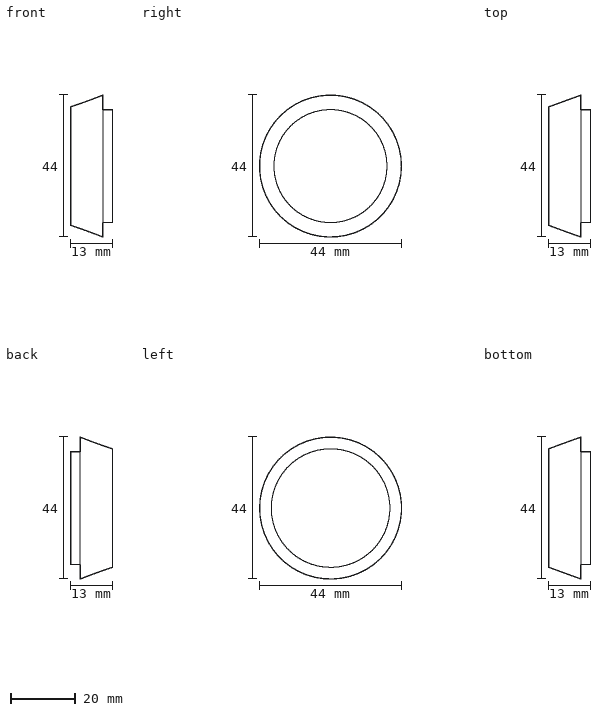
import cadquery as cq
import math

rim_diameter = 44.0
flare_length = 10.0
flare_angle = 20.0
spigot_diameter = 35.0
spigot_length = 3.0

rim_radius = rim_diameter / 2
face_radius = rim_radius - flare_length * math.tan(math.radians(flare_angle))
spigot_radius = spigot_diameter / 2
total_length = flare_length + spigot_length


def revolved_body():
    """Flared disc with a plain cylindrical spigot behind it, turned about the X axis."""
    half_profile = (
        cq.Workplane("XY")
        .moveTo(0, 0)
        .lineTo(0, face_radius)
        .lineTo(flare_length, rim_radius)
        .lineTo(flare_length, spigot_radius)
        .lineTo(total_length, spigot_radius)
        .lineTo(total_length, 0)
        .close()
    )
    return half_profile.revolve(360, (0, 0, 0), (1, 0, 0))


result = revolved_body()